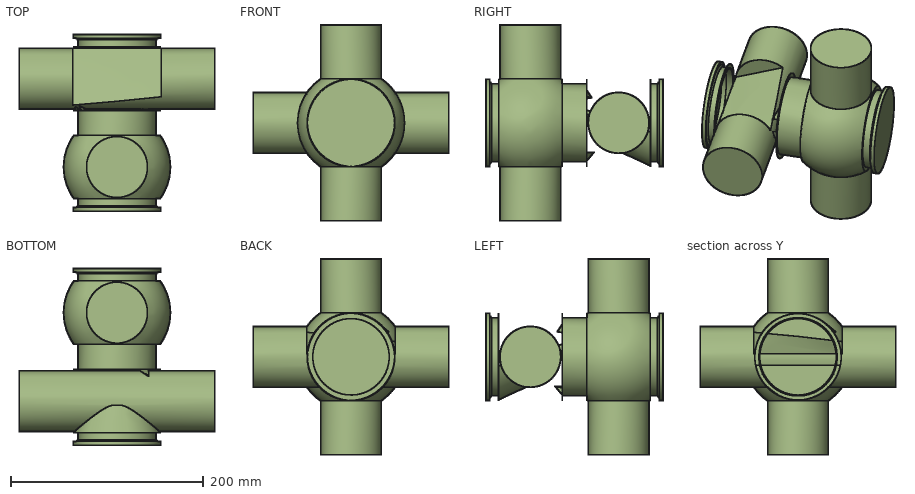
import cadquery as cq
import math

pipe_radius = 31.75
pipe_length = 203.96
ball_radius = 55.8
opening_radius = 45.0
body_spacing = 92.0
overall_depth = 184.3

neck_radius = 40.8
flange_radius = 45.65
flange_thickness = 4.0
bevel_radius = 42.9
bevel_length = 1.8

collar_thickness = 0.3
cup_wall = 1.0

flat_back_angle = 5.4
flat_front_angle_left = 150.0
flat_front_angle_right = 126.6

skirt_tip_offset = 4.2
skirt_top_drop = 9.0

opening_offset = math.sqrt(ball_radius**2 - opening_radius**2)
body_half_width = math.sqrt(ball_radius**2 - pipe_radius**2)
ferrule_length = (overall_depth - body_spacing) / 2 - opening_offset
collar_y = body_spacing - opening_offset
rear_y = body_spacing + opening_offset


def disc_along_y(radius, start_y, end_y):
    """Cylinder about the Y axis between two Y positions."""
    return cq.Workplane("XZ", origin=(0, start_y, 0)).circle(radius).extrude(start_y - end_y)


def ferrule(start_y, direction):
    """Neck, bevel and flange revolved about Y, reaching from start_y in the given direction."""
    end_y = start_y + direction * ferrule_length
    flange_y = end_y - direction * flange_thickness
    bevel_y = flange_y - direction * bevel_length
    return (
        cq.Workplane("XY")
        .moveTo(0, start_y)
        .lineTo(neck_radius, start_y)
        .lineTo(neck_radius, bevel_y)
        .lineTo(bevel_radius, flange_y)
        .lineTo(flange_radius, flange_y)
        .lineTo(flange_radius, end_y)
        .lineTo(0, end_y)
        .close()
        .revolve(360, (0, 0, 0), (0, 1, 0))
    )


def front_body():
    """Truncated ball with a vertical pipe, a front ferrule and a neck towards the cross pipe."""
    ball = cq.Workplane("XY").sphere(ball_radius)
    ball = ball.intersect(disc_along_y(ball_radius, -opening_offset, opening_offset))
    pipe = cq.Workplane("XY").circle(pipe_radius).extrude(pipe_length / 2, both=True)
    neck = disc_along_y(neck_radius, opening_offset, collar_y)
    collar = disc_along_y(opening_radius, collar_y - collar_thickness, collar_y)
    return ball.union(pipe).union(ferrule(-opening_offset, -1)).union(neck).union(collar)


def pipe_rim_point(angle):
    """Y and Z of a point on the cross pipe circle."""
    turn = math.radians(angle)
    return (body_spacing + pipe_radius * math.cos(turn), pipe_radius * math.sin(turn))


def region_above_flat(front_angle):
    """Corners, in Y and Z, of the area removed above the flat."""
    back = pipe_rim_point(flat_back_angle)
    front = pipe_rim_point(front_angle)
    front_limit = body_spacing - 2 * pipe_radius
    back_limit = body_spacing + 2 * pipe_radius
    slope = (front[1] - back[1]) / (front[0] - back[0])
    return [
        (front_limit, back[1] + slope * (front_limit - back[0])),
        (back_limit, back[1] + slope * (back_limit - back[0])),
        (back_limit, 2 * pipe_radius),
        (front_limit, 2 * pipe_radius),
    ]


def cross_pipe():
    """Pipe along X whose middle is cut to a flat that twists from one end to the other."""
    pipe = (
        cq.Workplane("YZ", origin=(0, body_spacing, 0))
        .circle(pipe_radius)
        .extrude(pipe_length / 2, both=True)
    )
    relief = (
        cq.Workplane("YZ", origin=(-body_half_width, 0, 0))
        .polyline(region_above_flat(flat_front_angle_left))
        .close()
        .workplane(offset=2 * body_half_width)
        .polyline(region_above_flat(flat_front_angle_right))
        .close()
        .loft(ruled=True)
    )
    return pipe.cut(relief)


def rear_cup():
    """Rear ferrule with a thin collar, hollowed from the side facing the cross pipe."""
    collar = disc_along_y(opening_radius, rear_y, rear_y + collar_thickness)
    hollow = disc_along_y(neck_radius - cup_wall, rear_y, rear_y + ferrule_length - cup_wall)
    return ferrule(rear_y, 1).union(collar).cut(hollow)


def skirt():
    """Lower part of a cone that widens from the cross pipe to the rear collar."""
    tip_y = body_spacing + skirt_tip_offset
    cone = (
        cq.Workplane("XY")
        .moveTo(0, tip_y)
        .lineTo(pipe_radius, tip_y)
        .lineTo(opening_radius, rear_y)
        .lineTo(0, rear_y)
        .close()
        .revolve(360, (0, 0, 0), (0, 1, 0))
    )
    lower_block = (
        cq.Workplane("XY", origin=(0, body_spacing, -skirt_top_drop))
        .rect(2 * ball_radius, 2 * ball_radius)
        .extrude(-ball_radius)
    )
    return cone.intersect(lower_block)


def collar_tooth(first_angle, second_angle, tip):
    """Pointed tooth on the collar of the neck, its base spanning two angles measured from +X."""

    def collar_point(radius, angle):
        turn = math.radians(angle)
        return cq.Vector(
            radius * math.cos(turn), collar_y - collar_thickness, radius * math.sin(turn)
        )

    corners = [
        collar_point(opening_radius, first_angle),
        collar_point(opening_radius, second_angle),
        collar_point(neck_radius, (first_angle + second_angle) / 2),
        cq.Vector(*tip),
    ]
    faces = []
    for skipped in range(len(corners)):
        triangle = [corner for index, corner in enumerate(corners) if index != skipped]
        faces.append(cq.Face.makeFromWires(cq.Wire.makePolygon(triangle, close=True)))
    return cq.Workplane(cq.Solid.makeSolid(cq.Shell.makeShell(faces)))


teeth = [
    (130, 146, (-39.5, collar_y + 5, 26)),
    (163, 174, (-43, collar_y + 8, 11)),
    (-62, -43, (33, collar_y + 7.4, -30.6)),
]

result = front_body().union(cross_pipe()).union(rear_cup()).union(skirt())
for first_angle, second_angle, tip in teeth:
    result = result.union(collar_tooth(first_angle, second_angle, tip))